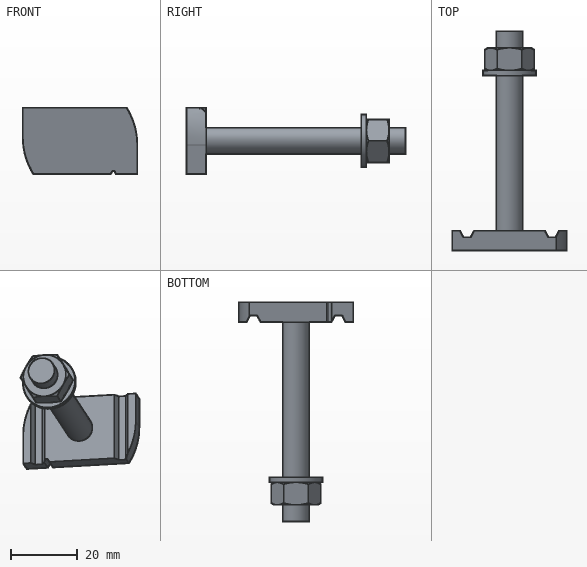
import cadquery as cq
import math

TOTAL_LENGTH = 66.0
SHANK_DIAMETER = 8.0
HEAD_LENGTH = 34.5
HEAD_HEIGHT = 20.0
HEAD_THICKNESS = 6.0
SIDE_FLAT_HEIGHT = 8.9
CORNER_SETBACK = 3.25

GROOVE_SPACING = 25.55
GROOVE_DEPTH = 2.0
GROOVE_MOUTH_WIDTH = 4.2
GROOVE_FLOOR_WIDTH = 2.1

NOTCH_X = 10.0
NOTCH_HEIGHT = 1.0
NOTCH_WIDTH = 1.6
NOTCH_SHOULDER_HEIGHT = 0.7
NOTCH_SHOULDER_WIDTH = 0.8

END_PROTRUSION = 5.0
NUT_THICKNESS = 6.8
NUT_ACROSS_FLATS = 13.0
NUT_CHAMFER_ANGLE = 30.0
WASHER_DIAMETER = 16.0
WASHER_THICKNESS = 1.6

shank_length = TOTAL_LENGTH - HEAD_THICKNESS
nut_end = shank_length - END_PROTRUSION
nut_start = nut_end - NUT_THICKNESS
washer_start = nut_start - WASHER_THICKNESS


def cylinder_along_y(diameter, start, length):
    """Solid cylinder on the bolt axis, growing toward +Y."""
    plane = cq.Workplane("XZ", origin=(0, start, 0))
    return plane.circle(diameter / 2).extrude(-length)


def head_blank():
    """Rectangular plate with two opposite corners rounded by tangent arcs."""
    half_length = HEAD_LENGTH / 2
    half_height = HEAD_HEIGHT / 2
    arc_start = half_height - SIDE_FLAT_HEIGHT
    return (
        cq.Workplane("XZ")
        .moveTo(half_length, -half_height)
        .lineTo(half_length, -arc_start)
        .tangentArcPoint((half_length - CORNER_SETBACK, half_height), relative=False)
        .lineTo(-half_length, half_height)
        .lineTo(-half_length, arc_start)
        .tangentArcPoint((-half_length + CORNER_SETBACK, -half_height), relative=False)
        .close()
        .extrude(HEAD_THICKNESS)
    )


def groove(center_x):
    """Trapezoidal groove across the bearing side of the head."""
    half_mouth = GROOVE_MOUTH_WIDTH / 2
    half_floor = GROOVE_FLOOR_WIDTH / 2
    return (
        cq.Workplane("XY")
        .polyline([
            (center_x - half_mouth, 0),
            (center_x - half_floor, -GROOVE_DEPTH),
            (center_x + half_floor, -GROOVE_DEPTH),
            (center_x + half_mouth, 0),
        ])
        .close()
        .extrude(HEAD_HEIGHT / 2, both=True)
    )


def marking_notch():
    """Small round-topped notch in the lower edge, through the head thickness."""
    bottom = -HEAD_HEIGHT / 2
    shoulder_z = bottom + NOTCH_SHOULDER_HEIGHT
    half_shoulder = NOTCH_SHOULDER_WIDTH / 2
    return (
        cq.Workplane("XZ")
        .moveTo(NOTCH_X - NOTCH_WIDTH / 2, bottom)
        .lineTo(NOTCH_X - half_shoulder, shoulder_z)
        .threePointArc((NOTCH_X, bottom + NOTCH_HEIGHT), (NOTCH_X + half_shoulder, shoulder_z))
        .lineTo(NOTCH_X + NOTCH_WIDTH / 2, bottom)
        .close()
        .extrude(HEAD_THICKNESS)
    )


def make_bolt():
    """Head and shank in one piece."""
    head = head_blank().cut(marking_notch())
    for side in (-1, 1):
        head = head.cut(groove(side * GROOVE_SPACING / 2))
    return head.union(cylinder_along_y(SHANK_DIAMETER, 0, shank_length))


def make_washer():
    """Flat ring fitting the shank."""
    disc = cylinder_along_y(WASHER_DIAMETER, washer_start, WASHER_THICKNESS)
    return disc.cut(cylinder_along_y(SHANK_DIAMETER, washer_start, WASHER_THICKNESS))


def make_nut():
    """Hexagon nut with corners along X and both ends chamfered by a cone."""
    flat_radius = NUT_ACROSS_FLATS / 2
    corner_radius = flat_radius / math.cos(math.radians(30))
    chamfer_length = (corner_radius - flat_radius) * math.tan(math.radians(NUT_CHAMFER_ANGLE))
    hexagon = (
        cq.Workplane("XZ", origin=(0, nut_start, 0))
        .polygon(6, 2 * corner_radius)
        .extrude(-NUT_THICKNESS)
    )
    chamfer_envelope = (
        cq.Workplane("XY")
        .polyline([
            (0, nut_start),
            (flat_radius, nut_start),
            (corner_radius, nut_start + chamfer_length),
            (corner_radius, nut_end - chamfer_length),
            (flat_radius, nut_end),
            (0, nut_end),
        ])
        .close()
        .revolve(360, (0, 0, 0), (0, 1, 0))
    )
    bore = cylinder_along_y(SHANK_DIAMETER, nut_start, NUT_THICKNESS)
    return hexagon.intersect(chamfer_envelope).cut(bore)


bolt = make_bolt()
washer = make_washer()
nut = make_nut()

result = cq.Compound.makeCompound([bolt.val(), washer.val(), nut.val()])